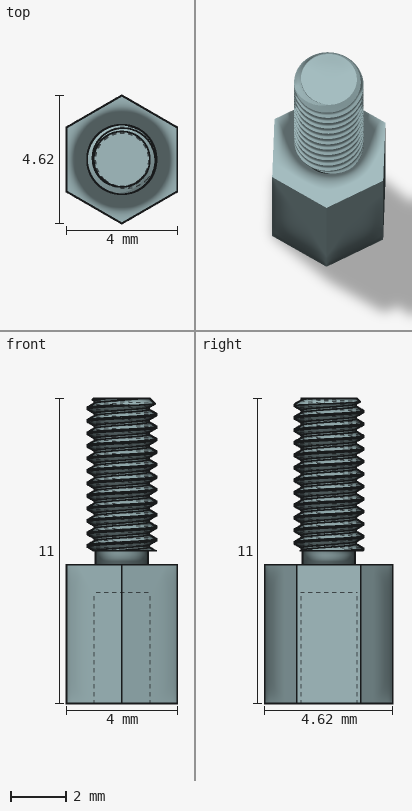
import cadquery as cq
import math

total_height = 11.0
across_flats = 4.0
body_height = 5.0
neck_height = 0.5
neck_diameter = 1.9

thread_diameter = 2.51
thread_root_diameter = 1.98
thread_pitch = 0.45
tip_diameter = 2.02
flank_angle = 30.0
envelope_clearance = 0.05
core_overlap = 0.03

hole_diameter = 2.02
hole_depth = 4.0

thread_start = body_height + neck_height
thread_radius = thread_diameter / 2
root_radius = thread_root_diameter / 2
tip_radius = tip_diameter / 2


def cylinder(diameter, bottom, top):
    return cq.Workplane("XY").workplane(offset=bottom).circle(diameter / 2).extrude(top - bottom)


def hex_body():
    across_corners = across_flats / math.cos(math.radians(30))
    body = cq.Workplane("XY").polygon(6, across_corners).extrude(body_height)
    return body.rotate((0, 0, 0), (0, 0, 1), 30)


def thread_ridge():
    """Right-handed ridge, longer than the thread at both ends, crest starting on +X."""
    inner_radius = root_radius - core_overlap
    crest_half = thread_pitch / 16
    base_half = crest_half + (thread_radius - inner_radius) * math.tan(math.radians(flank_angle))
    helix_height = total_height + thread_pitch - body_height
    path = cq.Wire.makeHelix(thread_pitch, helix_height, inner_radius, cq.Vector(0, 0, body_height))
    profile = [
        (inner_radius, body_height - base_half),
        (thread_radius, body_height - crest_half),
        (thread_radius, body_height + crest_half),
        (inner_radius, body_height + base_half),
    ]
    return cq.Workplane("XZ").polyline(profile).close().sweep(cq.Workplane(path), isFrenet=True)


def thread_envelope():
    """Space the thread may fill: flat at the bottom and a 45 degree chamfer at the tip."""
    chamfer = thread_radius - tip_radius
    blank = cylinder(thread_diameter + 2 * envelope_clearance, thread_start, total_height)
    return blank.faces(">Z").chamfer(chamfer + envelope_clearance)


def threaded_stud():
    core = cylinder(thread_root_diameter, thread_start, total_height)
    return core.union(thread_ridge().intersect(thread_envelope()))


neck = cylinder(neck_diameter, body_height, thread_start)
hole = cylinder(hole_diameter, 0, hole_depth)
result = hex_body().cut(hole).union(neck).union(threaded_stud())